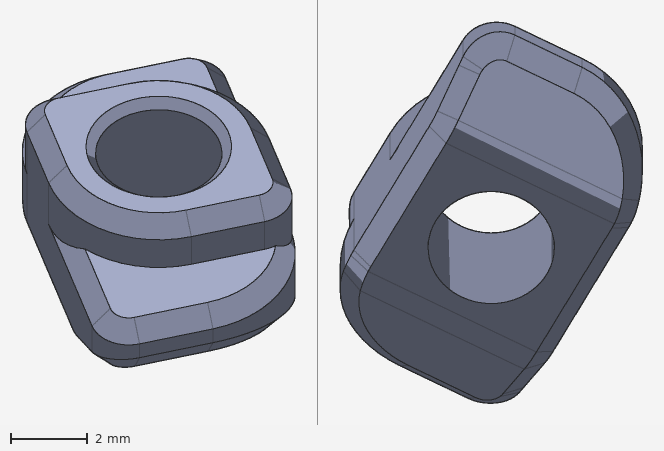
import cadquery as cq
import math

length = 10.0
width = 6.0
height = 4.25
base_height = 2.75

large_radius = width / 2
small_radius = 1.0
edge_chamfer = 0.5

ramp_length = 2.5
ramp_rise = 1.25
ramp_blend_radius = 1.5

hole_diameter = 3.3
hole_chamfer = 0.25


def rounded_block(size_x, bottom, top, rising_radius, falling_radius):
    """Block with one corner radius on the -X-Y/+X+Y diagonal and another on the -X+Y/+X-Y diagonal."""
    half_x = size_x / 2
    half_y = width / 2
    diagonal = math.sqrt(0.5)

    def arc_middle(x_sign, y_sign, radius):
        inset = radius * (1 - diagonal)
        return x_sign * (half_x - inset), y_sign * (half_y - inset)

    return (
        cq.Workplane("XY")
        .workplane(offset=bottom)
        .moveTo(-half_x + rising_radius, -half_y)
        .lineTo(half_x - falling_radius, -half_y)
        .threePointArc(arc_middle(1, -1, falling_radius), (half_x, -half_y + falling_radius))
        .lineTo(half_x, half_y - rising_radius)
        .threePointArc(arc_middle(1, 1, rising_radius), (half_x - rising_radius, half_y))
        .lineTo(-half_x + falling_radius, half_y)
        .threePointArc(arc_middle(-1, 1, falling_radius), (-half_x, half_y - falling_radius))
        .lineTo(-half_x, -half_y + rising_radius)
        .threePointArc(arc_middle(-1, -1, rising_radius), (-half_x + rising_radius, -half_y))
        .close()
        .extrude(top - bottom)
    )


def ramped_profile():
    """Side profile across the full width, with ramps blended into the bottom flat."""
    half_length = length / 2
    half_flat = half_length - ramp_length
    return (
        cq.Workplane("XZ")
        .polyline([
            (-half_length, base_height),
            (-half_length, ramp_rise),
            (-half_flat, 0),
            (half_flat, 0),
            (half_length, ramp_rise),
            (half_length, base_height),
        ])
        .close()
        .extrude(width / 2, both=True)
        .edges("|Y and <Z")
        .fillet(ramp_blend_radius)
    )


def make_base():
    """Elongated base, chamfered around its top and its ramped underside."""
    block = rounded_block(length, 0, base_height, large_radius, small_radius)
    base = block.intersect(ramped_profile())
    base = base.faces("<Z").edges("|X").chamfer(edge_chamfer)
    return base.faces(">Z").edges().chamfer(edge_chamfer)


def make_boss():
    """Square boss whose large corners lie on the diagonal opposite to those of the base."""
    boss_bottom = base_height - edge_chamfer
    boss = rounded_block(width, boss_bottom, height, small_radius, large_radius)
    return boss.faces(">Z").edges().chamfer(edge_chamfer)


def make_hole():
    """Cutter for the through hole and its chamfered mouth."""
    hole_radius = hole_diameter / 2
    return (
        cq.Workplane("XZ")
        .polyline([
            (0, 0),
            (hole_radius, 0),
            (hole_radius, height - hole_chamfer),
            (hole_radius + hole_chamfer, height),
            (0, height),
        ])
        .close()
        .revolve(360, (0, 0), (0, 1))
    )


result = make_base().union(make_boss()).cut(make_hole())